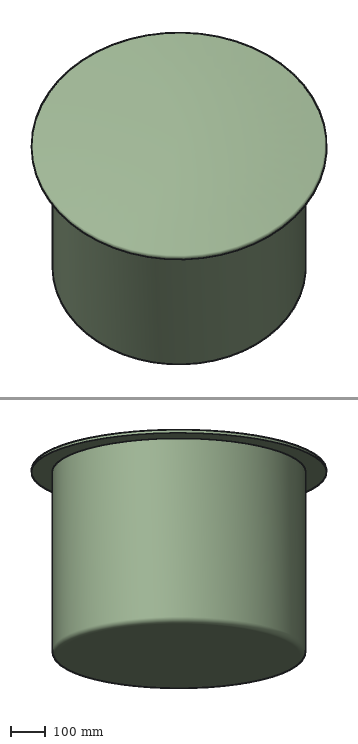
import cadquery as cq

total_height = 600.0
lid_diameter = 850.0
body_diameter = 730.0

rim_height = 12.0
rim_rounding = 8.0
dome_rise = 40.0
body_bottom_rounding = 15.0

lid_radius = lid_diameter / 2
dome_radius = lid_radius - rim_rounding
lid_bottom = total_height - dome_rise - rim_height
rim_top = lid_bottom + rim_height
corner_offset = rim_rounding * (1 - 0.5**0.5)

sphere_radius = (dome_radius**2 + dome_rise**2) / (2 * dome_rise)
mid_radius = dome_radius / 2
mid_height = total_height - sphere_radius + (sphere_radius**2 - mid_radius**2) ** 0.5


def make_body():
    body = cq.Workplane("XY").circle(body_diameter / 2).extrude(lid_bottom + rim_height / 2)
    return body.faces("<Z").edges().fillet(body_bottom_rounding)


def make_lid():
    profile = (
        cq.Workplane("XZ")
        .moveTo(0, lid_bottom)
        .lineTo(lid_radius, lid_bottom)
        .lineTo(lid_radius, rim_top - rim_rounding)
        .threePointArc((lid_radius - corner_offset, rim_top - corner_offset), (dome_radius, rim_top))
        .threePointArc((mid_radius, mid_height), (0, total_height))
        .close()
    )
    return profile.revolve(360, (0, 0, 0), (0, 1, 0))


result = make_body().union(make_lid())